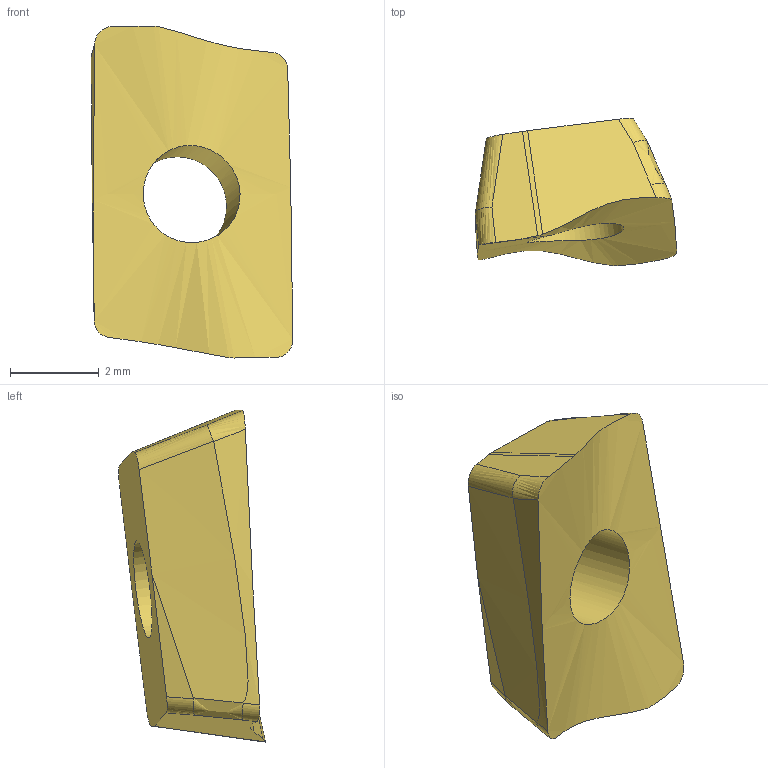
import cadquery as cq
import math


RADIAL_TILT = 8.28
AXIAL_TILT = 6.98
SEAT_CENTRE = (-0.139, 0, -0.169)

BACK_W = -1.145
BLANK_TOP_W = 2.0
ROOF_W = 3.0
BLANK_HALF_LENGTH = 4.2
BLANK_HALF_WIDTH = 2.8
HOLE_DIAMETER = 2.2
CORNER_RADIUS = 0.4
CORNER_MIN_U = 1.0

END_TAPER = 0.266
MEET_U = -0.79
MEET_V = 3.408
WIPER_SLOPE = 0.017
LONG_FACE_SLOPE = -0.144
MEET_BLEND_RADIUS = 0.75

TIP_HALF_WIDTH = 2.005
TIP_TAPER = 0.292
TAIL_HALF_WIDTH = 2.048
TAIL_TAPER = 0.253

RELIEF_HALF_WIDTH = 1.706
RELIEF_SLOPE = 0.017
RELIEF_TAPER = 0.415

LAND_LOW_W = 0.52
LAND_LOW_WIDTHS = (2.140, 2.205, 2.132)
LAND_HIGH_W = 1.1
LAND_HIGH_WIDTHS = (2.332, 2.250, 2.166)

FACE_END_PROFILE = (
    (-BLANK_HALF_WIDTH, 1.385),
    (-1.8, 1.38),
    (-0.95, 1.39),
    (-0.6, 1.34),
    (0.9, 0.745),
    (1.3, 0.69),
    (1.9, 0.735),
    (BLANK_HALF_WIDTH, 0.75),
)
FACE_MIDDLE_STATIONS = (-BLANK_HALF_WIDTH, -1.8, -1.0, -0.4, 0.4, 1.0, 1.8, BLANK_HALF_WIDTH)
FACE_MIDDLE_W = 0.942
FACE_MIDDLE_CURVATURE = 0.0175

STEEP = math.cos(math.radians(45))


def half_turn(points):
    return [(-u, -v) for u, v in points]


def polygon_at(w, points):
    return cq.Wire.makePolygon([cq.Vector(u, v, w) for u, v in points], close=True)


def body_between_levels(outline):
    """Straight-ruled solid from the outline at the back to the outline at the blank's top."""
    return cq.Workplane(obj=cq.Solid.makeLoft([outline(BACK_W), outline(BLANK_TOP_W)], True))


def flank_outline(w):
    tip_u = -(TIP_HALF_WIDTH + TIP_TAPER * w)
    tail_u = TAIL_HALF_WIDTH + TAIL_TAPER * w
    meet_v = MEET_V + END_TAPER * w
    one_end = [
        (tip_u, meet_v + WIPER_SLOPE * (tip_u - MEET_U)),
        (MEET_U, meet_v),
        (tail_u, meet_v + LONG_FACE_SLOPE * (tail_u - MEET_U)),
    ]
    return polygon_at(w, one_end + half_turn(one_end))


def relief_outline(w):
    middle_width = RELIEF_HALF_WIDTH + RELIEF_TAPER * (w - BACK_W)
    widening = RELIEF_SLOPE * BLANK_HALF_LENGTH
    left = [
        (-(middle_width - widening), -BLANK_HALF_LENGTH),
        (-(middle_width + widening), BLANK_HALF_LENGTH),
    ]
    return polygon_at(w, left + half_turn(left))


def land_outline(w):
    """Outline whose long sides are arcs through the three land widths at this level."""
    share = (w - LAND_LOW_W) / (LAND_HIGH_W - LAND_LOW_W)
    tail, middle, tip = [
        low + share * (high - low) for low, high in zip(LAND_LOW_WIDTHS, LAND_HIGH_WIDTHS)
    ]
    left = [(-tail, -BLANK_HALF_LENGTH), (-middle, 0), (-tip, BLANK_HALF_LENGTH)]
    right = half_turn(left)
    outline = (
        cq.Workplane("XY", origin=(0, 0, w))
        .moveTo(*left[0])
        .threePointArc(left[1], left[2])
        .lineTo(*right[0])
        .threePointArc(right[1], right[2])
        .close()
    )
    return outline.val()


def steep_edges(body):
    def is_steep(edge):
        rise = edge.endPoint().z - edge.startPoint().z
        return abs(rise) > STEEP * edge.Length()

    return [edge for edge in body.edges().vals() if is_steep(edge)]


def blend_wipers(body):
    """Round the edge between wiper and long face at both ends."""
    edges = [edge for edge in steep_edges(body) if abs(edge.Center().x) < CORNER_MIN_U]
    return body.newObject(edges).fillet(MEET_BLEND_RADIUS)


def round_corners(body):
    """Round the four corners, through every facet of the side flanks."""
    edges = [edge for edge in steep_edges(body) if abs(edge.Center().x) > CORNER_MIN_U]
    return body.newObject(edges).fillet(CORNER_RADIUS)


def face_section(profile, v):
    """Closed section at v of the space above the cutting face."""
    curve = cq.Edge.makeSpline([cq.Vector(u, v, w) for u, w in profile])
    roof = [
        curve.endPoint(),
        cq.Vector(BLANK_HALF_WIDTH, v, ROOF_W),
        cq.Vector(-BLANK_HALF_WIDTH, v, ROOF_W),
        curve.startPoint(),
    ]
    roof_edges = [cq.Edge.makeLine(start, end) for start, end in zip(roof, roof[1:])]
    return cq.Wire.assembleEdges([curve] + roof_edges)


def space_above_cutting_face():
    turned_profile = [(-u, w) for u, w in reversed(FACE_END_PROFILE)]
    middle_profile = [
        (u, FACE_MIDDLE_W + FACE_MIDDLE_CURVATURE * u**2) for u in FACE_MIDDLE_STATIONS
    ]
    sections = [
        face_section(turned_profile, -BLANK_HALF_LENGTH),
        face_section(middle_profile, 0),
        face_section(FACE_END_PROFILE, BLANK_HALF_LENGTH),
    ]
    return cq.Workplane(obj=cq.Solid.makeLoft(sections))


def screw_hole():
    start = cq.Workplane("XY", origin=(0, 0, BACK_W))
    return start.circle(HOLE_DIAMETER / 2).extrude(BLANK_TOP_W - BACK_W)


def make_insert():
    insert = blend_wipers(body_between_levels(flank_outline))
    insert = insert.intersect(body_between_levels(relief_outline))
    insert = insert.intersect(body_between_levels(land_outline))
    insert = round_corners(insert)
    insert = insert.cut(space_above_cutting_face())
    return insert.cut(screw_hole())


def seat_in_cutter(insert):
    upright = insert.rotate((0, 0, 0), (1, 0, 0), 90 - AXIAL_TILT)
    return upright.rotate((0, 0, 0), (0, 0, 1), RADIAL_TILT).translate(SEAT_CENTRE)


result = seat_in_cutter(make_insert())